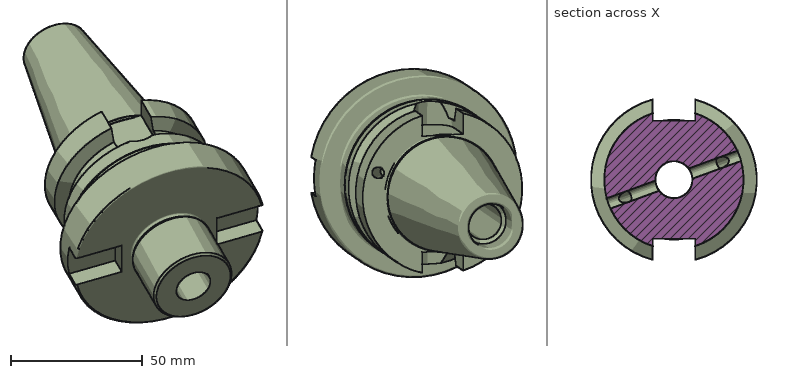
import cadquery as cq
import math

total_length = 139.4
taper_end = 65.5
collar_start = 67.3
gripper_groove_start = 77.1
gripper_floor_start = 79.5
gripper_floor_end = 84.2
gripper_groove_end = 87.0
collar_end = 92.7
flange_start = 100.5
flange_end = 115.3
undercut_end = 116.8
pilot_start = 117.7

taper_large_diameter = 44.6
taper_ratio = 7 / 24
relief_diameter = 44.2
collar_diameter = 63.0
gripper_floor_diameter = 53.0
neck_diameter = 62.5
flange_diameter = 78.0
undercut_diameter = 31.4
pilot_diameter = 32.0

taper_end_fillet = 0.8
collar_root_fillet = 0.7
neck_root_fillet = 1.0
flange_back_fillet = 0.8
flange_front_fillet = 0.5
undercut_fillet = 0.5
pilot_chamfer = 0.8

bore_diameter = 14.0
counterbore_diameter = 17.0
counterbore_depth = 9.0
counterbore_tip_angle = 118.0
counterbore_mouth_fillet = 1.0

keyway_width = 16.2
keyway_floor = 22.5
keyway_end = 88.5

drive_slot_width = 14.0
drive_slot_depth = 6.5
drive_slot_floor = 19.5

coolant_turn = 20.0
coolant_tilt = 30.0
coolant_inlet_radius = 27.0
inlet_diameter = 4.2
cross_hole_diameter = 4.0
cross_hole_x = 82.0


def circle_edge(x, diameter):
    """Select the circular edge of the given diameter lying in the plane at x."""
    r = diameter / 2
    margin = 0.03
    return cq.selectors.BoxSelector(
        (x - margin, -r - margin, -r - margin),
        (x + margin, r + margin, r + margin),
        boundingbox=True,
    ) - cq.selectors.BoxSelector(
        (x - margin, -r + margin, -r + margin),
        (x + margin, r - margin, r - margin),
        boundingbox=True,
    )


def make_body():
    """Turned outside of the holder, revolved about the X axis."""
    taper_small_diameter = taper_large_diameter - taper_ratio * taper_end
    steps = [
        (0, taper_small_diameter),
        (taper_end, taper_large_diameter),
        (taper_end, relief_diameter),
        (collar_start, relief_diameter),
        (collar_start, collar_diameter),
        (gripper_groove_start, collar_diameter),
        (gripper_floor_start, gripper_floor_diameter),
        (gripper_floor_end, gripper_floor_diameter),
        (gripper_groove_end, collar_diameter),
        (collar_end, collar_diameter),
        (collar_end, neck_diameter),
        (flange_start, neck_diameter),
        (flange_start, flange_diameter),
        (flange_end, flange_diameter),
        (flange_end, undercut_diameter),
        (undercut_end, undercut_diameter),
        (pilot_start, pilot_diameter),
        (total_length, pilot_diameter),
    ]
    outline = [(0, 0)] + [(x, d / 2) for x, d in steps] + [(total_length, 0)]
    body = cq.Workplane("XY").polyline(outline).close().revolve(360, (0, 0, 0), (1, 0, 0))
    fillets = [
        (0, taper_small_diameter, taper_end_fillet),
        (collar_start, relief_diameter, collar_root_fillet),
        (flange_start, neck_diameter, neck_root_fillet),
        (flange_start, flange_diameter, flange_back_fillet),
        (flange_end, flange_diameter, flange_front_fillet),
        (flange_end, undercut_diameter, undercut_fillet),
    ]
    for x, diameter, radius in fillets:
        body = body.edges(circle_edge(x, diameter)).fillet(radius)
    return body.edges(circle_edge(total_length, pilot_diameter)).chamfer(pilot_chamfer)


def make_bore():
    """Through bore with a counterbore, rounded at its mouth and conical at its floor."""
    bore_r = bore_diameter / 2
    counterbore_r = counterbore_diameter / 2
    mouth = counterbore_mouth_fillet
    mouth_sag = mouth * (1 - math.sqrt(0.5))
    cone_length = (counterbore_r - bore_r) / math.tan(math.radians(counterbore_tip_angle / 2))
    return (
        cq.Workplane("XY")
        .lineTo(0, counterbore_r + mouth)
        .threePointArc((mouth_sag, counterbore_r + mouth_sag), (mouth, counterbore_r))
        .lineTo(counterbore_depth, counterbore_r)
        .lineTo(counterbore_depth + cone_length, bore_r)
        .lineTo(total_length, bore_r)
        .lineTo(total_length, 0)
        .close()
        .revolve(360, (0, 0, 0), (1, 0, 0))
    )


def make_keyway():
    """Cutter for the +Z keyway, open toward the taper."""
    half_width = keyway_width / 2
    arc_center = keyway_end - half_width
    return (
        cq.Workplane("XY", origin=(0, 0, keyway_floor))
        .moveTo(collar_start, -half_width)
        .lineTo(arc_center, -half_width)
        .threePointArc((keyway_end, 0), (arc_center, half_width))
        .lineTo(collar_start, half_width)
        .close()
        .extrude(collar_diameter / 2)
    )


def make_drive_slot():
    """Cutter for the +Y drive slot, open to the front and rim of the flange."""
    return cq.Workplane("XY").box(
        drive_slot_depth, flange_diameter / 2, drive_slot_width, centered=(False, False, True)
    ).translate((flange_end - drive_slot_depth, drive_slot_floor, 0))


def make_coolant_passage():
    """Inclined inlet from the collar face, meeting a radial hole from the groove to the bore."""
    tilt = math.radians(coolant_tilt)
    inlet_direction = cq.Vector(math.cos(tilt), -math.sin(tilt), 0)
    inlet_start = cq.Vector(collar_start, coolant_inlet_radius, 0)
    inlet_length = (cross_hole_x - collar_start) / math.cos(tilt)
    lead_in = inlet_diameter
    inlet = cq.Solid.makeCylinder(
        inlet_diameter / 2,
        inlet_length + lead_in,
        inlet_start - inlet_direction * lead_in,
        inlet_direction,
    )
    cross_hole = cq.Solid.makeCylinder(
        cross_hole_diameter / 2,
        collar_diameter / 2,
        cq.Vector(cross_hole_x, 0, 0),
        cq.Vector(0, 1, 0),
    )
    passage = cq.Workplane(inlet).union(cq.Workplane(cross_hole))
    return passage.rotate((0, 0, 0), (1, 0, 0), coolant_turn)


result = make_body().cut(make_bore())
for cutter in (make_keyway(), make_drive_slot(), make_coolant_passage()):
    for turn in (0, 180):
        result = result.cut(cutter.rotate((0, 0, 0), (1, 0, 0), turn))